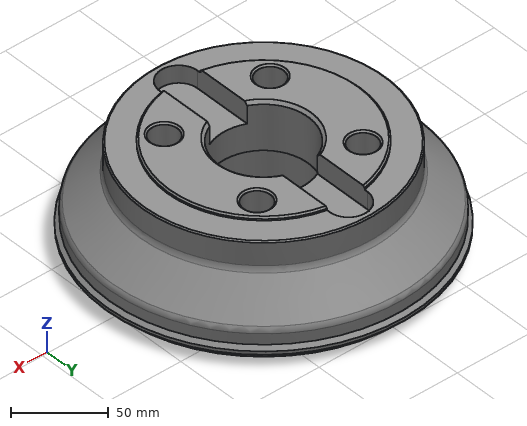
import cadquery as cq
import math

hub_radius = 208.7 / 2
hub_bottom_z = 0.9
lower_edge_z = 5.0
shoulder_z = 20.82
neck_radius = 164.0 / 2
neck_top_z = 60.9
neck_edge_chamfer = 0.9
blend_radius = 5.1
flank_height = hub_radius - neck_radius

total_height = 63.0
boss_radius = 65.0
boss_chamfer = 1.0

bore_diameter = 60.0
lower_bore_diameter = 62.0
bore_step_z = 31.0
bore_chamfer = 2.0

bolt_count = 4
bolt_hole_diameter = 18.0
bolt_circle_radius = 50.8
bolt_hole_chamfer = 1.0

slot_width = 25.5
slot_length = 156.8
slot_floor_z = 49.3

rim_radius = 106.8
rim_land_bottom_z = 6.8
rim_land_top_z = 9.0


def make_hub_blank():
    bottom_radius = hub_radius - (lower_edge_z - hub_bottom_z)
    profile = (
        cq.Workplane("XZ")
        .moveTo(0, hub_bottom_z)
        .lineTo(bottom_radius, hub_bottom_z)
        .lineTo(hub_radius, lower_edge_z)
        .lineTo(hub_radius, shoulder_z)
        .lineTo(neck_radius, shoulder_z + flank_height)
        .lineTo(neck_radius, neck_top_z)
        .lineTo(0, neck_top_z)
        .close()
    )
    blank = profile.revolve(360, (0, 0, 0), (0, 1, 0))
    blank = blank.faces(">Z").edges().chamfer(neck_edge_chamfer)
    flank_edges = blank.faces("%CONE").edges(
        cq.selectors.BoxSelector(
            (-rim_radius, -rim_radius, shoulder_z - blend_radius),
            (rim_radius, rim_radius, shoulder_z + flank_height + blend_radius),
        )
    )
    return flank_edges.fillet(blend_radius)


def make_boss():
    boss_height = total_height - neck_top_z
    boss = cq.Workplane("XY", origin=(0, 0, neck_top_z)).circle(boss_radius).extrude(boss_height)
    return boss.faces(">Z").edges().chamfer(boss_chamfer)


def chamfered_hole(diameter, chamfer):
    """Through-hole cutter with a 45 degree countersink at the top face."""
    radius = diameter / 2
    profile = (
        cq.Workplane("XZ")
        .lineTo(radius, 0)
        .lineTo(radius, total_height - chamfer)
        .lineTo(radius + chamfer, total_height)
        .lineTo(0, total_height)
        .close()
    )
    return profile.revolve(360, (0, 0, 0), (0, 1, 0))


def make_key_slot():
    return (
        cq.Workplane("XY", origin=(0, 0, slot_floor_z))
        .slot2D(slot_length, slot_width, 90)
        .extrude(total_height - slot_floor_z)
    )


def make_hub():
    hub = make_hub_blank().union(make_boss())
    hub = hub.cut(chamfered_hole(bore_diameter, bore_chamfer))
    hub = hub.cut(cq.Workplane("XY").circle(lower_bore_diameter / 2).extrude(bore_step_z))
    bolt_hole = chamfered_hole(bolt_hole_diameter, bolt_hole_chamfer)
    for index in range(bolt_count):
        angle = math.radians(360 / bolt_count * (index + 0.5))
        x = bolt_circle_radius * math.cos(angle)
        y = bolt_circle_radius * math.sin(angle)
        hub = hub.cut(bolt_hole.translate((x, y, 0)))
    return hub.cut(make_key_slot())


def make_rim():
    outer_bottom_radius = rim_radius - rim_land_bottom_z
    rim_top_z = rim_land_top_z + rim_radius - hub_radius
    profile = (
        cq.Workplane("XZ")
        .moveTo(hub_radius - lower_edge_z, 0)
        .lineTo(outer_bottom_radius, 0)
        .lineTo(rim_radius, rim_land_bottom_z)
        .lineTo(rim_radius, rim_land_top_z)
        .lineTo(hub_radius, rim_top_z)
        .lineTo(hub_radius, lower_edge_z)
        .close()
    )
    return profile.revolve(360, (0, 0, 0), (0, 1, 0))


hub = make_hub()
rim = make_rim()
result = cq.Compound.makeCompound([hub.val(), rim.val()])